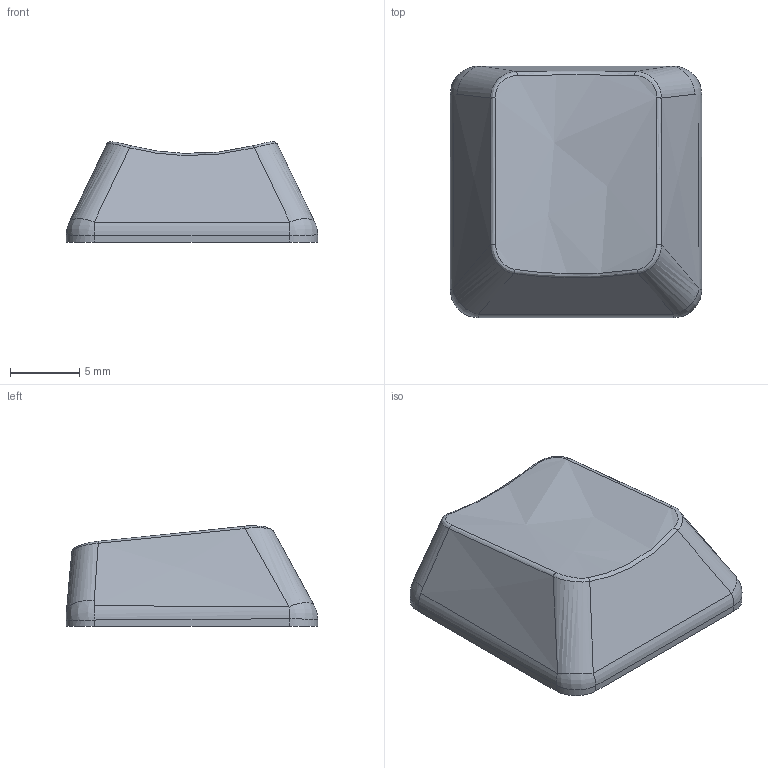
import cadquery as cq
import math

base_side = 18.16
skirt_height = 1.0

crown_width = 12.04
crown_front_y = -5.5
crown_back_y = 8.62
crown_height = 6.97
crown_tilt = 6.05

body_fillet_radius = 2.04
edge_clearance = 0.1

dish_front_depth = 1.33
dish_back_depth = 0.73
rim_fillet_radius = 0.3

tilt = math.radians(crown_tilt)
crown_length = (crown_back_y - crown_front_y) / math.cos(tilt)
crown_centre_y = (crown_front_y + crown_back_y) / 2
crown_centre_z = crown_height - crown_centre_y * math.tan(tilt)
crown_back_height = crown_height - crown_back_y * math.tan(tilt)
crown_plane = cq.Plane(
    origin=(0, crown_centre_y, crown_centre_z),
    xDir=(1, 0, 0),
    normal=(0, math.sin(tilt), math.cos(tilt)),
)


def rectangle_wire(plane, width, length):
    return cq.Workplane(plane).rect(width, length).wires().val()


def make_body():
    """Skirt and crown in one piece, with all edges rounded except those of base and top."""
    skirt = cq.Workplane("XY").rect(base_side, base_side).extrude(skirt_height)
    foot = rectangle_wire(cq.Plane.XY(origin=(0, 0, skirt_height)), base_side, base_side)
    top = rectangle_wire(crown_plane, crown_width, crown_length)
    crown = cq.Workplane(obj=cq.Solid.makeLoft([foot, top], True))
    body = skirt.union(crown)
    side_edges = cq.selectors.BoxSelector(
        (-base_side, -base_side, edge_clearance),
        (base_side, base_side, crown_back_height - edge_clearance),
    )
    return body.edges(side_edges).fillet(body_fillet_radius)


def dish_circle(y_on_plane, depth):
    """Circle through both side rims, sinking by depth below the middle of the tilted plane."""
    half_width = crown_width / 2
    radius = (half_width**2 + depth**2) / (2 * depth)
    centre = crown_plane.toWorldCoords((0, y_on_plane, radius - depth))
    return cq.Wire.makeCircle(radius, centre, crown_plane.yDir)


def make_dish():
    front = dish_circle(-crown_length, dish_front_depth)
    back = dish_circle(crown_length, dish_back_depth)
    return cq.Workplane(obj=cq.Solid.makeLoft([front, back], True))


def round_rim(body):
    return body.faces(">Z").edges().fillet(rim_fillet_radius)


keycap = make_body().cut(make_dish())
result = round_rim(keycap)